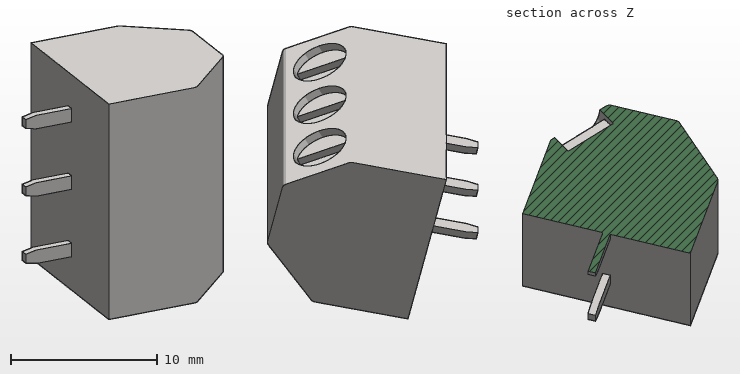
import cadquery as cq
import math

width = 12.0
depth = 10.8
height = 16.0
half_width = width / 2

slope_depth = 4.1
screw_slope_width = 2.9
wire_slope_width = 4.1
edge_radius = 0.45
slope_start_y = depth - slope_depth

pole_count = 3
pitch = 5.0
pole_heights = [(i - (pole_count - 1) / 2) * pitch for i in range(pole_count)]

recess_diameter = 3.9
recess_depth = 0.6
slot_width = 0.8
slot_depth = 1.5
screw_centre_y = depth - 2.22

pin_length = 3.5
pin_thickness = 0.55
pin_height = 1.0
tip_length = 0.8
tip_height = 0.66
pin_root_depth = 1.0


def make_housing():
    profile = [
        (-half_width, 0),
        (half_width, 0),
        (half_width, slope_start_y),
        (half_width - wire_slope_width, depth),
        (-half_width + screw_slope_width, depth),
        (-half_width, slope_start_y),
    ]
    block = cq.Workplane("XY").polyline(profile).close().extrude(height / 2, both=True)
    return block.edges("|Z and (not <Y)").fillet(edge_radius)


def make_screw_cut(z):
    slope_length = math.hypot(screw_slope_width, slope_depth)
    along_x = screw_slope_width / slope_length
    along_y = slope_depth / slope_length
    rise = screw_centre_y - slope_start_y
    centre_x = -half_width + rise * screw_slope_width / slope_depth
    plane = cq.Plane(
        origin=(centre_x, screw_centre_y, z),
        xDir=(along_x, along_y, 0),
        normal=(-along_y, along_x, 0),
    )
    recess_radius = recess_diameter / 2
    recess = cq.Workplane(plane).circle(recess_radius).extrude(-recess_depth)
    slot = cq.Workplane(plane).rect(recess_diameter, slot_width).extrude(-slot_depth)
    slot_limit = cq.Workplane(plane).circle(recess_radius).extrude(-slot_depth)
    return recess.union(slot.intersect(slot_limit))


def make_pin(z):
    half_pin = pin_height / 2
    half_tip = tip_height / 2
    shoulder_y = -pin_length + tip_length
    outline = [
        (pin_root_depth, -half_pin),
        (pin_root_depth, half_pin),
        (shoulder_y, half_pin),
        (-pin_length, half_tip),
        (-pin_length, -half_tip),
        (shoulder_y, -half_pin),
    ]
    pin = cq.Workplane("YZ").polyline(outline).close().extrude(pin_thickness / 2, both=True)
    return pin.translate((0, 0, z))


result = make_housing()
for pole_z in pole_heights:
    result = result.cut(make_screw_cut(pole_z))
    result = result.union(make_pin(pole_z))